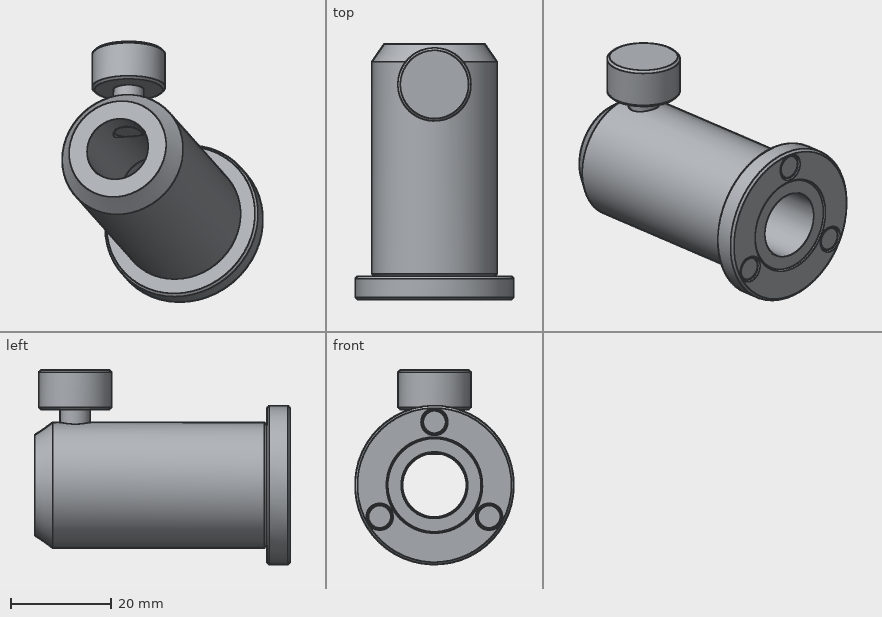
import cadquery as cq

length = 51.0
flange_radius = 31.75 / 2
flange_thickness = 4.7
edge_chamfer = 0.5
tube_radius = 12.55
nose_radius = 10.05
nose_length = 3.6

entry_bore_radius = 6.65
grip_bore_radius = 6.35
entry_bore_depth = length / 2

face_bevel = 0.3
recess_floor_radius = 9.3

magnet_count = 3
magnet_circle_radius = 12.6
magnet_radius = 4.76 / 2
magnet_length = 3.0
magnet_setback = face_bevel
magnet_chamfer = 0.15

screw_y = 42.92
screw_shank_radius = 3.05
screw_tip_z = 6.2
head_radius = 14.6 / 2
head_top_z = 38.88 - flange_radius
head_height = 7.92
head_bottom_z = head_top_z - head_height


def y_cylinder(radius, start, end):
    """Cylinder on the sleeve axis between two Y positions."""
    return cq.Workplane("XZ", origin=(0, start, 0)).circle(radius).extrude(start - end)


def face_countersink(radius):
    """45-degree cone cutter at the flange face, narrowing to the radius at the bevel depth."""
    cone = cq.Solid.makeCone(
        radius + face_bevel, radius, face_bevel, cq.Vector(0, 0, 0), cq.Vector(0, 1, 0)
    )
    return cq.Workplane(cone)


def place_on_magnet_circle(shape):
    """One copy of an on-axis shape at each magnet position."""
    pitch = 360 / magnet_count
    raised = shape.translate((0, 0, magnet_circle_radius))
    return [raised.rotate((0, 0, 0), (0, 1, 0), index * pitch) for index in range(magnet_count)]


def make_magnets():
    magnet = y_cylinder(magnet_radius, magnet_setback, magnet_setback + magnet_length)
    magnet = magnet.faces("<Y").chamfer(magnet_chamfer)
    return place_on_magnet_circle(magnet)


def make_sleeve():
    flange = y_cylinder(flange_radius, 0, flange_thickness).edges().chamfer(edge_chamfer)

    tube = (
        cq.Workplane("XY")
        .moveTo(0, 0)
        .lineTo(tube_radius - edge_chamfer, 0)
        .lineTo(tube_radius - edge_chamfer, flange_thickness)
        .lineTo(tube_radius, flange_thickness + edge_chamfer)
        .lineTo(tube_radius, length - nose_length)
        .lineTo(nose_radius, length)
        .lineTo(0, length)
        .close()
        .revolve(360, (0, 0, 0), (0, 1, 0))
    )
    sleeve = flange.union(tube)

    sleeve = sleeve.cut(face_countersink(recess_floor_radius))
    sleeve = sleeve.cut(y_cylinder(entry_bore_radius, 0, entry_bore_depth))
    sleeve = sleeve.cut(y_cylinder(grip_bore_radius, 0, length))

    pocket = y_cylinder(magnet_radius, 0, magnet_setback + magnet_length)
    pocket = pocket.union(face_countersink(magnet_radius))
    for magnet_pocket in place_on_magnet_circle(pocket):
        sleeve = sleeve.cut(magnet_pocket)

    screw_hole = (
        cq.Workplane("XY", origin=(0, screw_y, 0))
        .circle(screw_shank_radius)
        .extrude(head_bottom_z)
    )
    return sleeve.cut(screw_hole)


def make_thumbscrew():
    head = (
        cq.Workplane("XY", origin=(0, screw_y, head_bottom_z))
        .circle(head_radius)
        .extrude(head_height)
        .edges()
        .chamfer(edge_chamfer)
    )
    shank = (
        cq.Workplane("XY", origin=(0, screw_y, screw_tip_z))
        .circle(screw_shank_radius)
        .extrude(head_bottom_z - screw_tip_z)
    )
    return head.union(shank)


sleeve = make_sleeve()
thumbscrew = make_thumbscrew()
magnets = make_magnets()

result = cq.Compound.makeCompound(
    [body.solids().val() for body in (sleeve, thumbscrew, *magnets)]
)